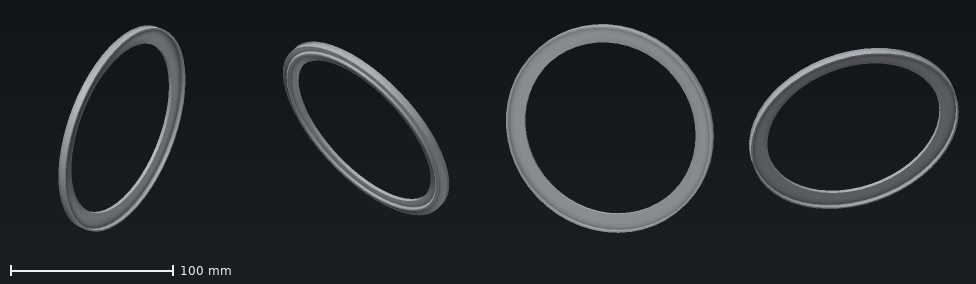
import cadquery as cq

outer_diameter = 132.2
bore_diameter = 109.9
overall_width = 6.3

web_thickness = 2.1
lip_inner_diameter = 130.0

bead_outer_diameter = 124.4
bead_inner_diameter = 119.6
foot_fillet = 0.4

bead_radius = (bead_outer_diameter - bead_inner_diameter) / 4
bead_height = bead_radius + foot_fillet
plate_width = overall_width - bead_height

outer_radius = outer_diameter / 2
bore_radius = bore_diameter / 2
lip_inner_radius = lip_inner_diameter / 2
bead_center_radius = (bead_outer_diameter + bead_inner_diameter) / 4
bead_outer_radius = bead_outer_diameter / 2
bead_inner_radius = bead_inner_diameter / 2

back_x = overall_width / 2
face_x = back_x - plate_width
web_back_x = face_x + web_thickness
crown_base_x = face_x - foot_fillet
crown_x = -overall_width / 2

section = (
    cq.Workplane("XY")
    .moveTo(web_back_x, bore_radius)
    .lineTo(web_back_x, lip_inner_radius)
    .lineTo(back_x, lip_inner_radius)
    .lineTo(back_x, outer_radius)
    .lineTo(face_x, outer_radius)
    .lineTo(face_x, bead_outer_radius + foot_fillet)
    .tangentArcPoint((crown_base_x, bead_outer_radius), relative=False)
    .threePointArc((crown_x, bead_center_radius), (crown_base_x, bead_inner_radius))
    .tangentArcPoint((face_x, bead_inner_radius - foot_fillet), relative=False)
    .lineTo(face_x, bore_radius)
    .close()
)

result = section.revolve(360, (0, 0, 0), (1, 0, 0))